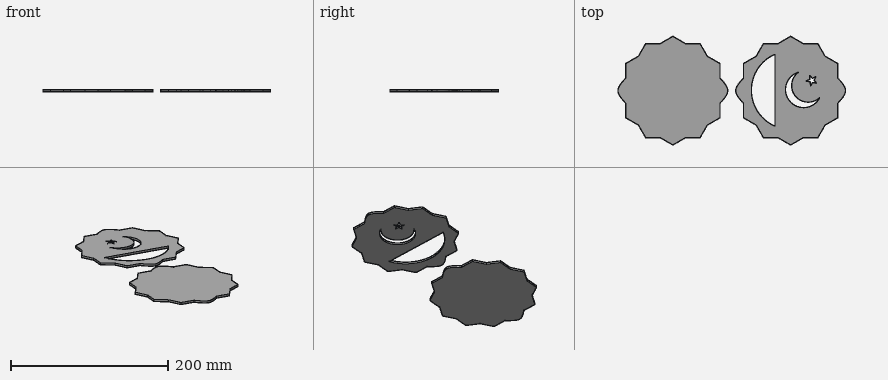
import cadquery as cq
import math

OVERALL_LENGTH = 290.0
THICKNESS = 3.0
DISC_SPACING = 150.0
TIP_RADIUS = 69.3
TIP_COUNT = 12
LOBE_RADIUS = (OVERALL_LENGTH - DISC_SPACING) / 2
LOBE_SHOULDER = (66.5, 8.7)

WINDOW_RADIUS = 50.0
WINDOW_CENTRE_Y = 0.5
WINDOW_CHORD_X = -20.0

CRESCENT_CENTRE = (16.5, 1.5)
CRESCENT_RADIUS = 23.0
BITE_CENTRE = (22.3, 6.5)
BITE_RADIUS = 21.2

STAR_CENTRE = (27.0, 13.0)
STAR_RADIUS = 7.0
STAR_POINTS = 5
STAR_ANGLE = 186

TIP_STEP = 360 / TIP_COUNT
NOTCH_RADIUS = TIP_RADIUS * math.cos(math.radians(TIP_STEP)) / math.cos(math.radians(TIP_STEP / 2))
PENTAGRAM_RATIO = math.cos(math.radians(72)) / math.cos(math.radians(36))


def polar(radius, degrees):
    angle = math.radians(degrees)
    return (radius * math.cos(angle), radius * math.sin(angle))


def scalloped_disc():
    """Twelve-tipped plate whose tips on the X axis are rounded lobes."""
    outline = cq.Workplane("XY").moveTo(*polar(NOTCH_RADIUS, -TIP_STEP / 2))
    shoulder_x, shoulder_y = LOBE_SHOULDER
    for i in range(TIP_COUNT):
        angle = i * TIP_STEP
        notch = polar(NOTCH_RADIUS, angle + TIP_STEP / 2)
        if angle % 180 == 0:
            side = 1 if angle == 0 else -1
            lobe = [
                (side * shoulder_x, -side * shoulder_y),
                (side * LOBE_RADIUS, 0),
                (side * shoulder_x, side * shoulder_y),
                notch,
            ]
            outline = outline.spline(lobe, includeCurrent=True)
        else:
            outline = outline.lineTo(*polar(TIP_RADIUS, angle)).lineTo(*notch)
    return outline.close().extrude(THICKNESS)


def half_moon_cutter():
    half_chord = math.sqrt(WINDOW_RADIUS**2 - WINDOW_CHORD_X**2)
    return (
        cq.Workplane("XY")
        .center(0, WINDOW_CENTRE_Y)
        .moveTo(WINDOW_CHORD_X, -half_chord)
        .lineTo(WINDOW_CHORD_X, half_chord)
        .threePointArc((-WINDOW_RADIUS, 0), (WINDOW_CHORD_X, -half_chord))
        .close()
        .extrude(THICKNESS)
    )


def crescent_cutter():
    moon = cq.Workplane("XY").center(*CRESCENT_CENTRE).circle(CRESCENT_RADIUS).extrude(THICKNESS)
    bite = cq.Workplane("XY").center(*BITE_CENTRE).circle(BITE_RADIUS).extrude(THICKNESS)
    return moon.cut(bite)


def star_cutter():
    step = 360 / STAR_POINTS
    corners = []
    for i in range(STAR_POINTS):
        angle = STAR_ANGLE + i * step
        corners.append(polar(STAR_RADIUS, angle))
        corners.append(polar(STAR_RADIUS * PENTAGRAM_RATIO, angle + step / 2))
    return cq.Workplane("XY").center(*STAR_CENTRE).polyline(corners).close().extrude(THICKNESS)


def pierced_disc():
    """Scalloped disc with the half-moon, crescent and star cut through it."""
    disc = scalloped_disc()
    for cutter in (half_moon_cutter(), crescent_cutter(), star_cutter()):
        disc = disc.cut(cutter)
    return disc


plain_plate = scalloped_disc().translate((-DISC_SPACING / 2, 0, 0))
pierced_plate = pierced_disc().translate((DISC_SPACING / 2, 0, 0))

result = cq.Compound.makeCompound([plain_plate.val(), pierced_plate.val()])